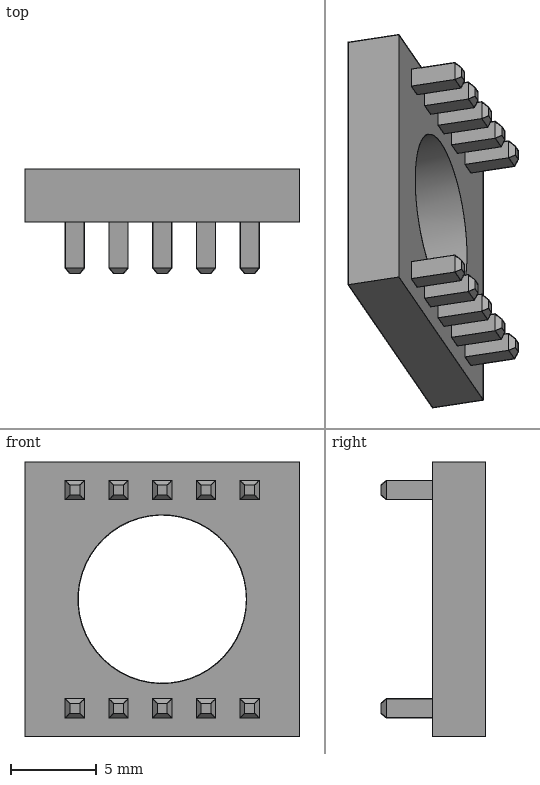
import cadquery as cq

plate_side = 16.0
plate_thickness = 3.1
bore_diameter = 9.8

overall_depth = 6.1
pin_length = overall_depth - plate_thickness
pin_width = 1.12
pin_tip_length = 0.32
pin_tip_width = 0.58
pins_per_row = 5
pin_pitch = 2.55
row_spacing = 12.7


def make_plate():
    """Plate with its pin face at Y = 0 and a round bore through its centre."""
    return (
        cq.Workplane("XZ")
        .rect(plate_side, plate_side)
        .circle(bore_diameter / 2)
        .extrude(-plate_thickness)
    )


def make_pin(x, z):
    """Square pin pointing toward -Y, ending in a blunt pyramid tip."""
    shank_length = pin_length - pin_tip_length
    shank = cq.Workplane("XZ").center(x, z).rect(pin_width, pin_width).extrude(shank_length)
    tip = (
        cq.Workplane("XZ", origin=(0, -shank_length, 0))
        .center(x, z)
        .rect(pin_width, pin_width)
        .workplane(offset=pin_tip_length)
        .rect(pin_tip_width, pin_tip_width)
        .loft(ruled=True)
    )
    return shank.union(tip)


result = make_plate()
for row_z in (-row_spacing / 2, row_spacing / 2):
    for index in range(pins_per_row):
        pin_x = (index - (pins_per_row - 1) / 2) * pin_pitch
        result = result.union(make_pin(pin_x, row_z))